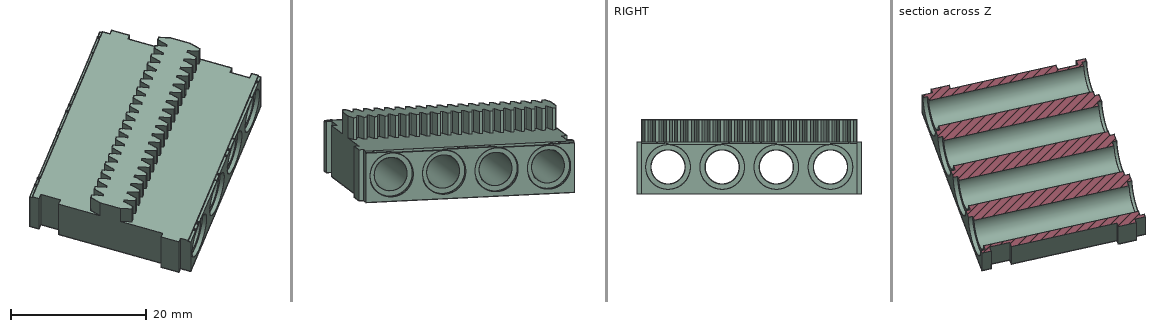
import cadquery as cq

width = 25.2
overall_length = 33.2
tab_reach = 0.7
body_length = overall_length - 2 * tab_reach
base_height = 7.7
overall_height = 11.0

key_offset = 9.6
tab_width = 2.82
socket_width = 3.05
socket_depth = 0.83

rail_height = overall_height - base_height
core_half_width = 1.63
tip_half_width = 3.22
tooth_count = 20
gap_span = 28.8
tooth_pitch = gap_span / (tooth_count - 2)
tip_length = 0.45
root_gap = 0.23

hole_count = 4
hole_pitch = 8.0
hole_height = hole_pitch / 2
bore_diameter = 5.0
counterbore_diameter = 6.6
counterbore_depth = 0.65

ledge_width = 0.4
ledge_depth = 0.25
deep_ledge_depth = 0.35
rib_thickness = 0.15
rib_positions = (14.77, 1.75, 0.55, -3.0, -12.42, -13.65)


def centred(index, count, pitch):
    """Position of one item in a row centred on the origin."""
    return (index - (count - 1) / 2) * pitch


def upright_box(x, y, size_x, size_y, bottom, top):
    """Box centred at (x, y) that spans the heights bottom to top."""
    return cq.Workplane("XY", origin=(x, y, bottom)).box(
        size_x, size_y, top - bottom, centered=(True, True, False)
    )


def make_base():
    base = upright_box(0, 0, width, body_length, 0, base_height)
    for side in (-1, 1):
        end_y = -side * body_length / 2
        x = side * key_offset
        base = base.union(upright_box(x, end_y, tab_width, 2 * tab_reach, 0, base_height))
        base = base.cut(upright_box(-x, end_y, socket_width, 2 * socket_depth, 0, base_height))
    return base


def make_rail():
    rail = upright_box(0, 0, 2 * core_half_width, body_length, base_height, overall_height)
    half_root = (tooth_pitch - root_gap) / 2
    half_tip = tip_length / 2
    for index in range(tooth_count):
        y = centred(index, tooth_count, tooth_pitch)
        outline = [
            (-tip_half_width, y - half_tip),
            (-core_half_width, y - half_root),
            (core_half_width, y - half_root),
            (tip_half_width, y - half_tip),
            (tip_half_width, y + half_tip),
            (core_half_width, y + half_root),
            (-core_half_width, y + half_root),
            (-tip_half_width, y + half_tip),
        ]
        teeth = cq.Workplane("XY", origin=(0, 0, base_height)).polyline(outline).close()
        rail = rail.union(teeth.extrude(rail_height))
    return rail


def make_ledge_cut(side):
    """Material removed along one long upper edge, leaving thin ribs standing."""
    x = side * width / 2
    size_x = 2 * ledge_width
    ledge = upright_box(x, 0, size_x, body_length, base_height - ledge_depth, base_height)
    for y in (-hole_pitch, hole_pitch):
        ledge = ledge.union(
            upright_box(x, y, size_x, hole_pitch, base_height - deep_ledge_depth, base_height)
        )
    for y in rib_positions:
        ledge = ledge.cut(upright_box(x, y, size_x, rib_thickness, 0, base_height))
    return ledge


def x_cylinder(start_x, y, diameter, length):
    plane = cq.Workplane("YZ", origin=(start_x, y, hole_height))
    return plane.circle(diameter / 2).extrude(length)


result = make_base().union(make_rail())

for side in (-1, 1):
    result = result.cut(make_ledge_cut(side))

for index in range(hole_count):
    y = centred(index, hole_count, hole_pitch)
    result = result.cut(x_cylinder(-width / 2, y, bore_diameter, width))
    for start_x in (-width / 2, width / 2 - counterbore_depth):
        result = result.cut(x_cylinder(start_x, y, counterbore_diameter, counterbore_depth))